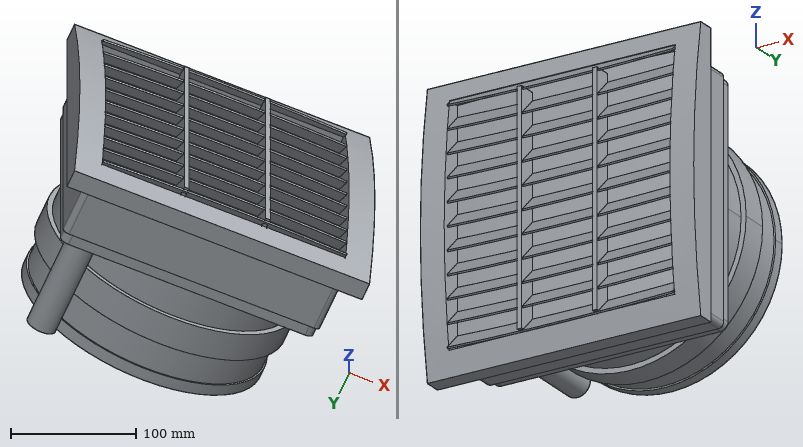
import cadquery as cq
import math


frame_side = 257.0
frame_edge_depth = 15.5
frame_depth = 26.2

box_side = 223.5
box_depth = 46.5
box_corner_radius = 5.1
step_side = 220.0
step_depth = 9.5
step_corner_radius = 7.0

duct_diameter = 210.0
collar_diameter = 219.5
neck_diameter = 207.0
duct_rings = [
    (duct_diameter, 28.0),
    (collar_diameter, 25.2),
    (neck_diameter, 27.5),
    (duct_diameter, 10.0),
]
duct_length = sum(length for _, length in duct_rings)
step_back = box_depth + step_depth

pipe_diameter = 25.0
pipe_x = -87.6
pipe_z = -77.0
block_side = 20.5
block_height = 5.0
block_right_x = 107.0
block_z = -77.0

window_width = 212.0
window_top = 112.5
window_bottom = -window_width / 2
arc_sag = 3.9
wall_y = -10.0

slat_count = 11
slat_pitch = window_width / (slat_count - 1)
slat_angle = 45.0
slat_thickness = 1.5
slat_front_y = -25.7
top_slat_z = 103.8

bar_width = 4.0
bay_count = 3


def frame():
    half = frame_side / 2
    return (
        cq.Workplane("YZ", origin=(-half, 0, 0))
        .moveTo(0, -half)
        .lineTo(-frame_edge_depth, -half)
        .threePointArc((-frame_depth, 0), (-frame_edge_depth, half))
        .lineTo(0, half)
        .close()
        .extrude(frame_side)
    )


def rounded_block(side, depth, radius, front_y):
    return (
        cq.Workplane("XZ", origin=(0, front_y, 0))
        .rect(side, side)
        .extrude(-depth)
        .edges("|Y")
        .fillet(radius)
    )


def rod(diameter, length, front_y, x=0.0, z=0.0):
    return cq.Workplane("XZ", origin=(x, front_y, z)).circle(diameter / 2).extrude(-length)


def window_cut():
    half = window_width / 2
    wall_end_y = wall_y + arc_sag
    front_y = -frame_depth
    return (
        cq.Workplane("XY", origin=(0, 0, window_bottom))
        .moveTo(-half, front_y)
        .lineTo(-half, wall_end_y)
        .threePointArc((0, wall_y), (half, wall_end_y))
        .lineTo(half, front_y)
        .close()
        .extrude(window_top - window_bottom)
    )


def slat(front_z):
    half = window_width / 2
    angle = math.radians(slat_angle)
    edge_sag = arc_sag / math.cos(angle)
    slope_length = (wall_y + arc_sag - slat_front_y) / math.cos(angle)
    upper_face = cq.Plane(
        origin=(0, slat_front_y, front_z),
        xDir=(1, 0, 0),
        normal=(0, -math.sin(angle), math.cos(angle)),
    )
    return (
        cq.Workplane(upper_face)
        .moveTo(-half, slope_length)
        .lineTo(-half, edge_sag)
        .threePointArc((0, 0), (half, edge_sag))
        .lineTo(half, slope_length)
        .close()
        .extrude(-slat_thickness)
    )


def bar(x):
    depth = frame_depth + wall_y + arc_sag
    center = (x, -frame_depth + depth / 2, 0)
    return cq.Workplane("XY").box(bar_width, depth, window_width).translate(center)


result = frame()
result = result.union(rounded_block(box_side, box_depth, box_corner_radius, 0))
result = result.union(rounded_block(step_side, step_depth, step_corner_radius, box_depth))

ring_y = step_back
for ring_diameter, ring_length in duct_rings:
    result = result.union(rod(ring_diameter, ring_length, ring_y))
    ring_y += ring_length

result = result.union(rod(pipe_diameter, duct_length, step_back, pipe_x, pipe_z))
block_center = (block_right_x - block_side / 2, step_back + block_height / 2, block_z)
block = cq.Workplane("XY").box(block_side, block_height, block_side).translate(block_center)
result = result.union(block)

result = result.cut(window_cut())
for slat_index in range(slat_count):
    result = result.union(slat(top_slat_z - slat_index * slat_pitch))
bay_width = window_width / bay_count
for bar_index in range(1, bay_count):
    result = result.union(bar(-window_width / 2 + bar_index * bay_width))